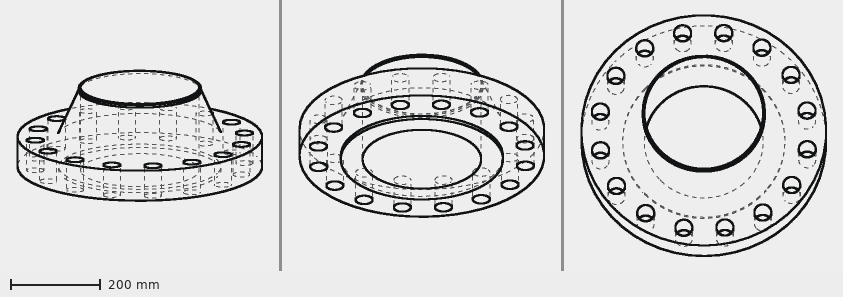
import cadquery as cq
import math

FLANGE_DIAMETER = 546.1
FLANGE_THICKNESS = 69.85
FACE_DIAMETER = 361.95
FACE_HEIGHT = 7.94

TOTAL_HEIGHT = 192.09
HUB_BASE_DIAMETER = 368.3
HUB_FILLET_RADIUS = 3.0
NECK_DIAMETER = 273.05
PIPE_WALL = 4.19
NECK_LENGTH = 7.5
BEVEL_ANGLE = 37.5
WELD_LAND = 1.6

BOLT_COUNT = 16
BOLT_CIRCLE_DIAMETER = 469.9
BOLT_HOLE_DIAMETER = 38.1

SELECTION_MARGIN = 1.0

FLANGE_TOP = FACE_HEIGHT + FLANGE_THICKNESS
BORE_RADIUS = NECK_DIAMETER / 2 - PIPE_WALL
BOLT_CIRCLE_RADIUS = BOLT_CIRCLE_DIAMETER / 2


def make_plate():
    """Raised face with the flange plate on top of it."""
    face = cq.Workplane("XY").circle(FACE_DIAMETER / 2).extrude(FACE_HEIGHT)
    plate = (
        cq.Workplane("XY")
        .workplane(offset=FACE_HEIGHT)
        .circle(FLANGE_DIAMETER / 2)
        .extrude(FLANGE_THICKNESS)
    )
    return face.union(plate)


def make_hub():
    """Cone from the flange to a short bevelled neck."""
    neck_radius = NECK_DIAMETER / 2
    land_radius = BORE_RADIUS + WELD_LAND
    bevel_height = (neck_radius - land_radius) * math.tan(math.radians(BEVEL_ANGLE))
    profile = [
        (0, FLANGE_TOP),
        (HUB_BASE_DIAMETER / 2, FLANGE_TOP),
        (neck_radius, TOTAL_HEIGHT - NECK_LENGTH),
        (neck_radius, TOTAL_HEIGHT - bevel_height),
        (land_radius, TOTAL_HEIGHT),
        (0, TOTAL_HEIGHT),
    ]
    return cq.Workplane("XZ").polyline(profile).close().revolve(360, (0, 0), (0, 1))


def fillet_hub_root(body):
    """Round the inside corner where the hub meets the flange."""
    half_width = HUB_BASE_DIAMETER / 2 + SELECTION_MARGIN
    root = cq.selectors.BoxSelector(
        (-half_width, -half_width, FLANGE_TOP - SELECTION_MARGIN),
        (half_width, half_width, FLANGE_TOP + SELECTION_MARGIN),
        boundingbox=True,
    )
    return body.edges(root).fillet(HUB_FILLET_RADIUS)


def make_bore():
    """Straight bore through the whole part."""
    return cq.Workplane("XY").circle(BORE_RADIUS).extrude(TOTAL_HEIGHT)


def make_bolt_holes():
    """Through holes, evenly spaced on the bolt circle."""
    return (
        cq.Workplane("XY")
        .polarArray(BOLT_CIRCLE_RADIUS, 0, 360, BOLT_COUNT)
        .circle(BOLT_HOLE_DIAMETER / 2)
        .extrude(FLANGE_TOP)
    )


result = fillet_hub_root(make_plate().union(make_hub()))
result = result.cut(make_bore()).cut(make_bolt_holes())